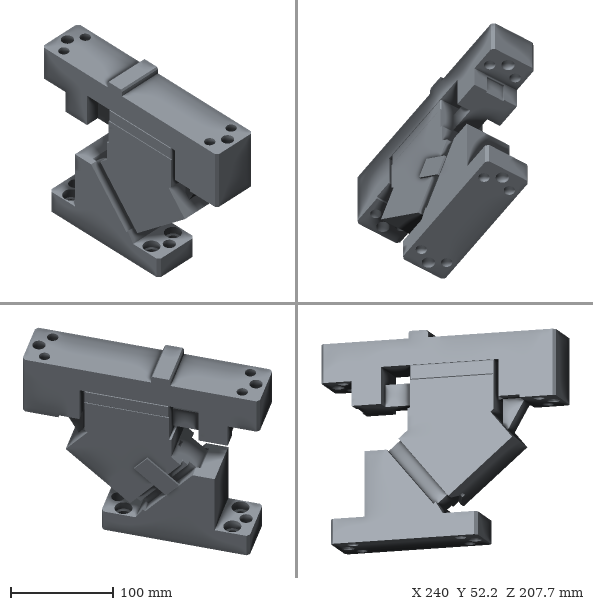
import cadquery as cq
import math


width = 50.0
corner_chamfer = 3.0
screw_hole_dia = 11.0
dowel_hole_dia = 13.0
screw_spacing = 29.8
screw_end_distance = 20.0
dowel_end_distance = 10.0

slope_angle = 50
seat_x = 67.5
seat_z = 90.5
slope_cos = math.cos(math.radians(slope_angle))
slope_sin = math.sin(math.radians(slope_angle))
slope_plane = cq.Plane(
    origin=(seat_x, 0, seat_z), xDir=(slope_cos, 0, -slope_sin), normal=(0, -1, 0)
)
cross_plane = cq.Plane(
    origin=(seat_x, 0, seat_z), xDir=(0, 1, 0), normal=(slope_cos, 0, -slope_sin)
)

base_left = 10.0
base_length = 150.0
base_right = base_left + base_length
base_left_top = 25.0
base_right_top = 23.3
column_left = 45.0
lip_height = 3.0
lip_foot_x = 125.0
counterbore_dia = 17.5
counterbore_floor = 15.0

rail_length = 75.0
rail_width = 35.5
rail_side_height = 15.4
rail_ridge_height = 22.8
rail_ridge_width = 8.2
rail_groove_depth = 5.3
rail_groove_height = 9.0
pocket_depth = 3.8

slider_foot_length = 79.2
slider_foot_bottom = 16.0
slider_foot_top = 101.3
slider_notch_along = 44.6
ridge_relief_height = 3.5
slider_left = 89.0
slider_neck_left = 91.5
slider_neck_right = 177.0
slider_ledge_z = 130.8
plate_edge_chamfer = 1.0
side_plate_along = 19.7
side_plate_width = 20.5
side_plate_bottom = 1.0
side_plate_length = 42.0
side_plate_thickness = 2.2

holder_length = 240
holder_top = 200.2
left_end_bottom = 161.3
left_leg_outer = 32.0
left_leg_inner = 61.7
right_leg_inner = 182.2
right_step_x = 203.3
right_end_bottom = 134.0
window_top = 173.5
key_left = 89.8
key_width = 20.0
key_height = 7.5
key_chamfer_width = 1.5
key_chamfer_drop = 2.2

bar_width = 20.0
bar_bottom = 136.5
bar_top = 158.6
bar_recess = 1.7
gusset_angle = 60


def slope_point(along, height):
    """X and Z of a point given along the slope and square to it."""
    x = seat_x + along * slope_cos + height * slope_sin
    z = seat_z - along * slope_sin + height * slope_cos
    return x, z


def extrude_across(points, across):
    """Solid with an X-Z outline, centred on Y = 0."""
    return cq.Workplane("XZ").polyline(points).close().extrude(across / 2, both=True)


def block(x_min, x_max, across, z_min, z_max):
    """Box between two X and two Z values, centred on Y = 0."""
    return extrude_across([(x_min, z_min), (x_max, z_min), (x_max, z_max), (x_min, z_max)], across)


def end_hole_places(left, right, end_distance, spacing=0):
    """Hole centres near both ends, in pairs when there is a spacing across."""
    sides = (-spacing / 2, spacing / 2) if spacing else (0,)
    return [(x, y) for x in (left + end_distance, right - end_distance) for y in sides]


def drill(body, places, diameter, z_min, z_max):
    """Body with vertical round holes between two heights."""
    floor = cq.Workplane("XY", origin=(0, 0, z_min))
    tools = floor.pushPoints(places).circle(diameter / 2).extrude(z_max - z_min)
    return body.cut(tools)


def rail_section():
    """Section of the rail across the slope: upright sides and a flat-topped roof."""
    half = rail_width / 2
    ridge = rail_ridge_width / 2
    return (
        cq.Workplane(cross_plane)
        .polyline([
            (-half, 0),
            (half, 0),
            (half, rail_side_height),
            (ridge, rail_ridge_height),
            (-ridge, rail_ridge_height),
            (-half, rail_side_height),
        ])
        .close()
    )


def make_rail():
    """V rail with a groove along the foot of its +Y side."""
    groove_y = rail_width / 2 - rail_groove_depth
    groove = (
        cq.Workplane(cross_plane)
        .moveTo(groove_y, 0)
        .rect(rail_groove_depth, rail_groove_height, centered=False)
        .extrude(rail_length)
    )
    return rail_section().extrude(rail_length).cut(groove)


def make_end_pocket():
    """Shallow pocket into the column top, in front of the rail end and as wide as the rail foot."""
    foot_width = rail_width - rail_groove_depth
    pocket_length = 2 * pocket_depth
    return (
        cq.Workplane(cross_plane)
        .moveTo(-rail_width / 2, -pocket_depth)
        .rect(foot_width, pocket_depth + pocket_length, centered=False)
        .extrude(-pocket_length)
    )


def make_base():
    outline = [
        (base_left, 0),
        (base_right, 0),
        (base_right, base_right_top),
        (lip_foot_x, base_right_top),
        slope_point(rail_length, lip_height),
        slope_point(rail_length, 0),
        slope_point(0, 0),
        (column_left, seat_z),
        (column_left, base_left_top),
        (base_left, base_left_top),
    ]
    base = extrude_across(outline, width)
    base = base.edges("|Z and (<X or >X)").chamfer(corner_chamfer)
    base = base.union(make_rail()).cut(make_end_pocket())

    screws = end_hole_places(base_left, base_right, screw_end_distance, screw_spacing)
    dowels = end_hole_places(base_left, base_right, dowel_end_distance)
    base = drill(base, screws, screw_hole_dia, 0, base_left_top)
    base = drill(base, dowels, dowel_hole_dia, 0, base_left_top)
    return drill(base, screws, counterbore_dia, counterbore_floor, base_left_top)


def make_slider():
    """Slider with a chamfered top plate, a V groove, a slot for the bar and a side plate."""
    end_face_height = (slider_left - seat_x) / slope_sin
    notch_height = (slider_neck_right - slope_point(slider_notch_along, 0)[0]) / slope_sin
    outline = [
        slope_point(0, slider_foot_bottom),
        slope_point(slider_foot_length, slider_foot_bottom),
        slope_point(slider_foot_length, slider_foot_top),
        slope_point(slider_notch_along, slider_foot_top),
        slope_point(slider_notch_along, notch_height),
        (slider_neck_right, bar_top),
        (slider_neck_left, bar_top),
        (slider_neck_left, slider_ledge_z),
        (slider_left, slider_ledge_z),
        slope_point(0, end_face_height),
    ]
    slider = extrude_across(outline, width)

    top_plate = block(slider_neck_left, slider_neck_right, width, bar_top, window_top)
    slider = slider.union(top_plate.faces("<Y or >Y").edges().chamfer(plate_edge_chamfer))

    ridge_relief = (
        cq.Workplane(cross_plane)
        .moveTo(-rail_ridge_width / 2, 0)
        .rect(rail_ridge_width, rail_ridge_height + ridge_relief_height, centered=False)
        .extrude(slider_foot_length)
    )
    slider = slider.cut(rail_section().extrude(slider_foot_length)).cut(ridge_relief)
    slider = slider.cut(block(slider_left, slider_neck_right, bar_width, bar_bottom, bar_top))

    side_plate = (
        cq.Workplane(slope_plane)
        .workplane(offset=-width / 2)
        .moveTo(side_plate_along, side_plate_bottom)
        .rect(side_plate_width, side_plate_length, centered=False)
        .extrude(-side_plate_thickness)
    )
    return slider.union(side_plate)


def make_key():
    """Cross key on top of the holder, with bevelled upper edges."""
    key_right = key_left + key_width
    key_top = holder_top + key_height
    return extrude_across([
        (key_left, holder_top),
        (key_right, holder_top),
        (key_right, key_top - key_chamfer_drop),
        (key_right - key_chamfer_width, key_top),
        (key_left + key_chamfer_width, key_top),
        (key_left, key_top - key_chamfer_drop),
    ], width)


def make_gusset():
    """Wedge under the right leg, ending on the upper face of the slider foot."""
    corner_x, corner_z = slope_point(slider_notch_along, slider_foot_top)
    foot_slope = math.tan(math.radians(slope_angle))
    gusset_slope = math.tan(math.radians(gusset_angle))
    inner_z = corner_z - (right_leg_inner - corner_x) * foot_slope
    meeting_x = (
        corner_z - right_end_bottom + corner_x * foot_slope + right_step_x * gusset_slope
    ) / (foot_slope + gusset_slope)
    meeting_z = corner_z - (meeting_x - corner_x) * foot_slope
    return extrude_across([
        (right_leg_inner, bar_bottom),
        (right_leg_inner, inner_z),
        (meeting_x, meeting_z),
        (right_step_x, right_end_bottom),
        (right_step_x, bar_bottom),
    ], bar_width)


def make_holder():
    outline = [
        (0, left_end_bottom),
        (left_leg_outer, left_end_bottom),
        (left_leg_outer, bar_bottom),
        (left_leg_inner, bar_bottom),
        (left_leg_inner, window_top),
        (right_leg_inner, window_top),
        (right_leg_inner, bar_bottom),
        (right_step_x, bar_bottom),
        (right_step_x, right_end_bottom),
        (holder_length, right_end_bottom),
        (holder_length, holder_top),
        (0, holder_top),
    ]
    holder = extrude_across(outline, width)
    holder = holder.edges("|Z and (<X or >X)").chamfer(corner_chamfer)
    holder = holder.union(make_key())

    bar_end = left_leg_outer + bar_recess
    holder = holder.cut(block(left_leg_outer, bar_end, bar_width, bar_bottom, bar_top))
    holder = holder.union(block(bar_end, right_leg_inner, bar_width, bar_bottom, bar_top))
    holder = holder.union(make_gusset())

    screws = end_hole_places(0, holder_length, screw_end_distance, screw_spacing)
    dowels = end_hole_places(0, holder_length, dowel_end_distance)
    holder = drill(holder, screws, screw_hole_dia, right_end_bottom, holder_top)
    return drill(holder, dowels, dowel_hole_dia, right_end_bottom, holder_top)


base = make_base()
slider = make_slider()
holder = make_holder()

result = cq.Compound.makeCompound([base.solids().val(), slider.solids().val(), holder.solids().val()])